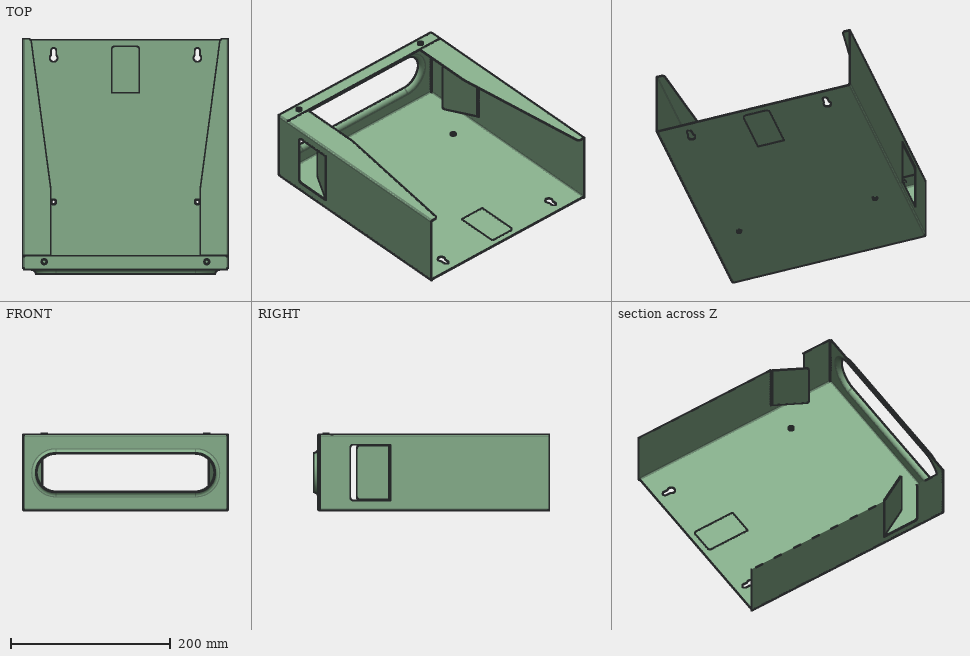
import cadquery as cq
import math

SHEET = 1.5
BEND_RADIUS = 2.0
WIDTH = 258.0
WALL_HEIGHT = 95.7
REAR_Y = 147.7
TIP_Y = -147.7

SLOT_CENTRE_Z = 47.5
SLOT_HALF_STRAIGHT = 87.8
FLARE_START_RADIUS = 30.0
FLARE_DEPTH = 5.3

FLOOR_SETBACK = 1.2
FRONT_INSET = 1.5
FRONT_FLANGE_DEPTH = 18.0
FRONT_FLANGE_CHAMFER = 1.5
WALL_SETBACK = 2.5
JOINT_GAP = 0.3

FLANGE_FRONT_WIDTH = 35.2
FLANGE_REAR_WIDTH = 10.5
FLANGE_KNEE_Y = -40.0
FLANGE_CHAMFER = 2.5

FIXING_X = 90.0
FLOOR_COLLAR_Y = -57.0
KEYHOLE_HEAD_Y = 123.5
KEYHOLE_HEAD_DIAMETER = 9.5
KEYHOLE_NECK_WIDTH = 6.2
KEYHOLE_TOP_Y = 136.0
TOP_COLLAR_X = 102.0
TOP_COLLAR_Y = -132.0
COLLAR_DIAMETER = 7.0
COLLAR_BORE = 5.0
COLLAR_HEIGHT = 1.2

WINDOW_REAR_Y = -51.5
WINDOW_LENGTH = 50.2
WINDOW_HEIGHT = 69.7
CORNER_RADIUS = 3.5
FLAP_GAP = 1.0
FLAP_REAR_GAP = 2.0
FLAP_LENGTH = 46.0
FLAP_ANGLE = 29.0

FLOOR_FLAP_WIDTH = 34.5
FLOOR_FLAP_LENGTH = 58.2
FLOOR_FLAP_FRONT_Y = 79.8

SIDES = (-1, 1)
INNER_BEND_RADIUS = BEND_RADIUS - SHEET
HALF_WIDTH = WIDTH / 2
HALF_FLAT_WIDTH = HALF_WIDTH - BEND_RADIUS
FRONT_Y = TIP_Y + FLARE_DEPTH
WALL_FRONT_Y = FRONT_Y + WALL_SETBACK
FRONT_FLANGE_REAR_Y = FRONT_Y + FRONT_FLANGE_DEPTH
MID_HEIGHT = WALL_HEIGHT / 2
WINDOW_BOTTOM_Z = SLOT_CENTRE_Z - WINDOW_HEIGHT / 2


def block(x0, x1, y0, y1, z0, z1):
    """Box between two corners; the two x values may come in either order."""
    left, right = sorted((x0, x1))
    return cq.Workplane("XY", origin=(left, y0, z0)).box(right - left, y1 - y0, z1 - z0, centered=False)


def flange_mouth():
    """Open area between the tapered side flanges."""
    knee_x = HALF_WIDTH - FLANGE_FRONT_WIDTH
    rear_x = HALF_WIDTH - FLANGE_REAR_WIDTH
    right = [
        (knee_x, WALL_FRONT_Y),
        (knee_x, FLANGE_KNEE_Y),
        (rear_x, REAR_Y - FLANGE_CHAMFER),
        (rear_x + FLANGE_CHAMFER, REAR_Y),
    ]
    left = [(-x, y) for x, y in reversed(right)]
    outline = cq.Workplane("XY", origin=(0, 0, MID_HEIGHT)).polyline(right + left).close()
    return outline.extrude(MID_HEIGHT)


def channel():
    """Floor, two side walls and their tapered inward flanges."""
    outside = block(-HALF_WIDTH, HALF_WIDTH, WALL_FRONT_Y, REAR_Y, 0, WALL_HEIGHT)
    outside = outside.edges("|Y").fillet(BEND_RADIUS)
    inner_half = HALF_WIDTH - SHEET
    inside = block(-inner_half, inner_half, WALL_FRONT_Y, REAR_Y, SHEET, WALL_HEIGHT - SHEET)
    inside = inside.edges("|Y").fillet(INNER_BEND_RADIUS)
    front_flange_space = block(
        -HALF_FLAT_WIDTH, HALF_FLAT_WIDTH,
        WALL_FRONT_Y, FRONT_FLANGE_REAR_Y + JOINT_GAP,
        MID_HEIGHT, WALL_HEIGHT,
    )
    rear_setback = block(-HALF_FLAT_WIDTH, HALF_FLAT_WIDTH, REAR_Y - FLOOR_SETBACK, REAR_Y, 0, SHEET)
    return outside.cut(inside).cut(flange_mouth()).cut(front_flange_space).cut(rear_setback)


def stadium(radius):
    """Slot-shaped plug through the front panel."""
    plane = cq.Workplane("XZ", origin=(0, FRONT_Y, SLOT_CENTRE_Z))
    return plane.slot2D(2 * (SLOT_HALF_STRAIGHT + radius), 2 * radius).extrude(-SHEET)


def front_panel():
    """Panel bent up from the floor, with a flange folded back along its top."""
    half = HALF_WIDTH - FRONT_INSET
    outside = block(-half, half, FRONT_Y, FRONT_FLANGE_REAR_Y, 0, WALL_HEIGHT)
    outside = outside.faces("<Y").edges("|X").fillet(BEND_RADIUS)
    inside = block(-half, half, FRONT_Y + SHEET, FRONT_FLANGE_REAR_Y, SHEET, WALL_HEIGHT - SHEET)
    inside = inside.faces("<Y").edges("|X").fillet(INNER_BEND_RADIUS)
    panel = outside.cut(inside).cut(stadium(FLARE_START_RADIUS))
    for side in SIDES:
        corner_x = side * HALF_FLAT_WIDTH
        panel = panel.cut(
            block(corner_x, side * HALF_WIDTH, WALL_FRONT_Y, FRONT_FLANGE_REAR_Y, 0, WALL_HEIGHT)
        )
        chamfer = cq.Workplane("XY", origin=(corner_x, FRONT_FLANGE_REAR_Y, MID_HEIGHT)).polyline(
            [(0, 0), (-side * FRONT_FLANGE_CHAMFER, 0), (0, -FRONT_FLANGE_CHAMFER)]
        )
        panel = panel.cut(chamfer.close().extrude(MID_HEIGHT))
    return panel


def flare_section(plane_x):
    """Quarter-circle curl of the sheet above the slot, in the YZ plane at plane_x."""
    diagonal = math.sqrt(0.5)
    outer = FLARE_DEPTH
    inner = FLARE_DEPTH + SHEET
    centre_z = SLOT_CENTRE_Z + FLARE_START_RADIUS
    return (
        cq.Workplane("YZ", origin=(plane_x, 0, 0))
        .moveTo(FRONT_Y, centre_z)
        .threePointArc((TIP_Y + outer * diagonal, centre_z - outer * diagonal), (TIP_Y, centre_z - outer))
        .lineTo(TIP_Y, centre_z - inner)
        .threePointArc((TIP_Y + inner * diagonal, centre_z - inner * diagonal), (TIP_Y + inner, centre_z))
        .close()
    )


def flare():
    """Sheet curled forward all round the slot."""
    top = flare_section(-SLOT_HALF_STRAIGHT).extrude(2 * SLOT_HALF_STRAIGHT)
    ring = top.union(top.mirror("XY", (0, 0, SLOT_CENTRE_Z)))
    for side in SIDES:
        end = flare_section(side * SLOT_HALF_STRAIGHT)
        ring = ring.union(end.revolve(180, (0, SLOT_CENTRE_Z), (side, SLOT_CENTRE_Z)))
    return ring


def cylinder(x, y, z, diameter, height):
    return cq.Workplane("XY", origin=(x, y, z)).circle(diameter / 2).extrude(height)


def keyhole(x):
    """Hanging hole: a round head with a narrower round-ended neck behind it."""
    neck_end_y = KEYHOLE_TOP_Y - KEYHOLE_NECK_WIDTH / 2
    half_neck = KEYHOLE_NECK_WIDTH / 2
    head = cylinder(x, KEYHOLE_HEAD_Y, 0, KEYHOLE_HEAD_DIAMETER, SHEET)
    neck = block(x - half_neck, x + half_neck, KEYHOLE_HEAD_Y, neck_end_y, 0, SHEET)
    neck_end = cylinder(x, neck_end_y, 0, KEYHOLE_NECK_WIDTH, SHEET)
    return head.union(neck).union(neck_end)


def collar(x, y, z):
    """Low ring standing on a sheet whose upper face is at z."""
    ring = cylinder(x, y, z, COLLAR_DIAMETER, COLLAR_HEIGHT)
    return ring.cut(cylinder(x, y, z, COLLAR_BORE, COLLAR_HEIGHT))


def side_window(side):
    opening = block(
        side * HALF_WIDTH, side * (HALF_WIDTH - SHEET),
        WINDOW_REAR_Y - WINDOW_LENGTH, WINDOW_REAR_Y,
        WINDOW_BOTTOM_Z, WINDOW_BOTTOM_Z + WINDOW_HEIGHT,
    )
    return opening.faces("<Y").edges("|X").fillet(CORNER_RADIUS)


def floor_flap():
    """Flat plate filling its opening in the floor, with two rounded rear corners."""
    half = FLOOR_FLAP_WIDTH / 2
    plate = block(-half, half, FLOOR_FLAP_FRONT_Y, FLOOR_FLAP_FRONT_Y + FLOOR_FLAP_LENGTH, 0, SHEET)
    return plate.faces(">Y").edges("|Z").fillet(CORNER_RADIUS)


def side_flap(side):
    """Loose plate swung inward from just ahead of a side window's rear edge."""
    height = WINDOW_HEIGHT - 2 * FLAP_GAP
    plate = block(-SHEET, 0, -FLAP_LENGTH, 0, 0, height)
    plate = plate.faces("<Y").edges("|X").fillet(CORNER_RADIUS)
    plate = plate.rotate((0, 0, 0), (0, 0, 1), -FLAP_ANGLE)
    plate = plate.translate((HALF_WIDTH - SHEET, WINDOW_REAR_Y - FLAP_REAR_GAP, WINDOW_BOTTOM_Z + FLAP_GAP))
    return plate if side > 0 else plate.mirror("YZ")


def housing():
    """Folded sheet housing with all its openings."""
    body = channel().union(front_panel()).union(flare())
    for side in SIDES:
        body = body.union(collar(side * TOP_COLLAR_X, TOP_COLLAR_Y, WALL_HEIGHT))
        body = body.union(collar(side * FIXING_X, FLOOR_COLLAR_Y, SHEET))
        body = body.cut(cylinder(side * FIXING_X, FLOOR_COLLAR_Y, 0, COLLAR_BORE, SHEET))
        body = body.cut(keyhole(side * FIXING_X))
        body = body.cut(side_window(side))
    return body.cut(floor_flap())


side_flaps = [side_flap(side).val() for side in SIDES]
result = cq.Compound.makeCompound([housing().val(), floor_flap().val(), *side_flaps])